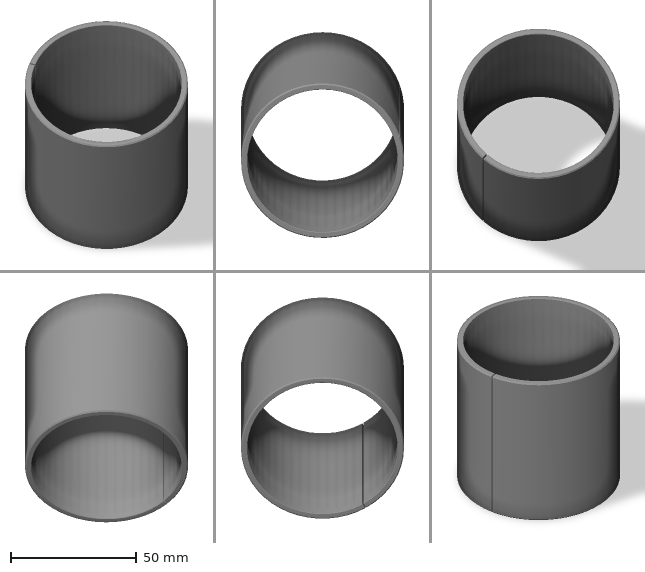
import cadquery as cq

outer_diameter = 65.0
inner_diameter = 60.0
length = 65.0
outer_chamfer = 0.5
inner_chamfer = 0.2
gap_angle = 1.0

outer_radius = outer_diameter / 2
inner_radius = inner_diameter / 2
half_length = length / 2


def wall_section():
    """Wall profile on the -X side, chamfered at all four corners."""
    return (
        cq.Workplane("XZ")
        .moveTo(-inner_radius - inner_chamfer, -half_length)
        .lineTo(-outer_radius + outer_chamfer, -half_length)
        .lineTo(-outer_radius, -half_length + outer_chamfer)
        .lineTo(-outer_radius, half_length - outer_chamfer)
        .lineTo(-outer_radius + outer_chamfer, half_length)
        .lineTo(-inner_radius - inner_chamfer, half_length)
        .lineTo(-inner_radius, half_length - inner_chamfer)
        .lineTo(-inner_radius, -half_length + inner_chamfer)
        .close()
    )


def split_sleeve():
    """Sweep the wall about +Z from -X through -Y, stopping short to leave the gap."""
    axis_start = (0, 0, 0)
    axis_end = (0, 1, 0)
    return wall_section().revolve(360 - gap_angle, axis_start, axis_end)


result = split_sleeve()